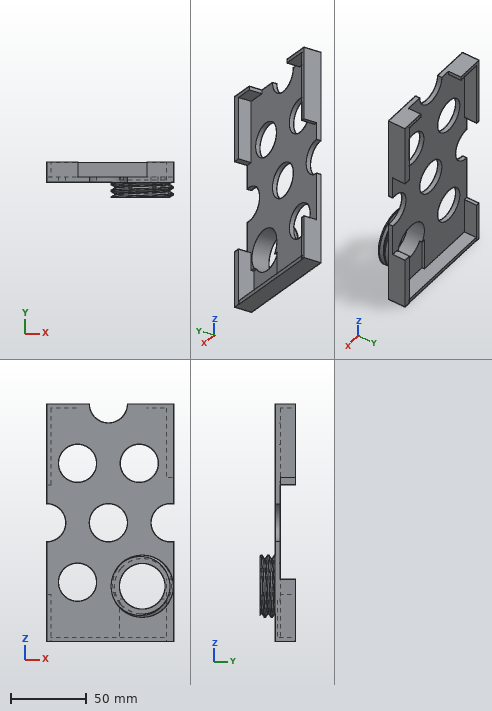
import cadquery as cq

WIDTH = 84.02
HEIGHT = 156.71
DEPTH = 13.45
PLATE_THICKNESS = 3.5
WALL_THICKNESS = 2.8
RIGHT_WALL_THICKNESS = 5.0
BOTTOM_WALL_SETBACK = 0.3

LEFT_OPENING = (31.2, 103.3)
RIGHT_OPENING = (41.2, 108.3)
TOP_OPENING = (20.7, 66.1)

HOLE_DIAMETER = 25.0
COLUMN_PITCH = 20.35
FIRST_COLUMN_X = 0.1
ROW_PITCH = HEIGHT / 4
HOLE_GRID = [(1, 1), (0, 2), (2, 2), (4, 2), (1, 3), (3, 3), (2, 4)]

RECESS_DEPTH = 2.0
RECESS_TOP_Z = 28.0

NECK_X = 63.1
NECK_Z = 36.5
NECK_LENGTH = 10.0
BORE_DIAMETER = 30.0
ROOT_DIAMETER = 36.54
CREST_DIAMETER = 41.0
THREAD_PITCH = 4.5
THREAD_BASE_WIDTH = 3.7
THREAD_CREST_WIDTH = 0.9
THREAD_PHASE = 1.1
THREAD_TURNS = 4
THREAD_EMBED = 0.5

root_radius = ROOT_DIAMETER / 2
crest_radius = CREST_DIAMETER / 2


def block(x_range, y_range, z_range):
    """Axis-aligned box between the given limits."""
    spans = [end - start for start, end in (x_range, y_range, z_range)]
    corner = (x_range[0], y_range[0], z_range[0])
    return cq.Workplane("XY").box(*spans, centered=False).translate(corner)


def cylinder_along_y(diameter, x, z, y_start, y_end):
    """Cylinder parallel to Y between two Y positions."""
    axis = cq.Vector(0, 1, 0)
    solid = cq.Solid.makeCylinder(diameter / 2, y_end - y_start, cq.Vector(x, y_start, z), axis)
    return cq.Workplane(solid)


def make_tray():
    """Plate with a wall along each edge, opened on the left, right and top."""
    inner_x = (WALL_THICKNESS, WIDTH - RIGHT_WALL_THICKNESS)
    inner_z = (WALL_THICKNESS, HEIGHT - WALL_THICKNESS)
    wall_y = (PLATE_THICKNESS, DEPTH)

    tray = block((0, WIDTH), (0, DEPTH), (0, HEIGHT))
    tray = tray.cut(block(inner_x, wall_y, inner_z))
    tray = tray.cut(block((0, WALL_THICKNESS), wall_y, LEFT_OPENING))
    tray = tray.cut(block((inner_x[1], WIDTH), wall_y, RIGHT_OPENING))
    tray = tray.cut(block(TOP_OPENING, wall_y, (inner_z[1], HEIGHT)))
    return tray.cut(block(inner_x, (DEPTH - BOTTOM_WALL_SETBACK, DEPTH), (0, WALL_THICKNESS)))


def cut_holes(body):
    """Round holes through the plate; those on the edges become part circles."""
    for column, row in HOLE_GRID:
        x = FIRST_COLUMN_X + column * COLUMN_PITCH
        body = body.cut(cylinder_along_y(HOLE_DIAMETER, x, row * ROW_PITCH, 0, PLATE_THICKNESS))
    return body


def make_thread():
    """Right-hand ridge around +Z with its first crest on the -X side, running past both neck ends."""
    inner = root_radius - THREAD_EMBED
    helix = cq.Wire.makeHelix(THREAD_PITCH, THREAD_TURNS * THREAD_PITCH, root_radius)
    flank_points = [
        (inner, -THREAD_BASE_WIDTH / 2),
        (root_radius, -THREAD_BASE_WIDTH / 2),
        (crest_radius, -THREAD_CREST_WIDTH / 2),
        (crest_radius, THREAD_CREST_WIDTH / 2),
        (root_radius, THREAD_BASE_WIDTH / 2),
        (inner, THREAD_BASE_WIDTH / 2),
    ]
    ridge = cq.Workplane("XZ").polyline(flank_points).close().sweep(cq.Workplane(helix), isFrenet=True)
    ridge = ridge.rotate((0, 0, 0), (0, 0, 1), 180)
    return ridge.translate((0, 0, THREAD_PHASE - THREAD_PITCH))


def make_neck():
    """Threaded neck standing out from the front face toward -Y."""
    overrun = 2 * THREAD_PITCH
    core = cq.Workplane("XY").circle(root_radius).extrude(NECK_LENGTH + 2 * overrun)
    core = core.translate((0, 0, -overrun))
    envelope = cq.Workplane("XY").circle(CREST_DIAMETER).extrude(NECK_LENGTH)
    neck = core.union(make_thread()).intersect(envelope)
    neck = neck.rotate((0, 0, 0), (1, 0, 0), 90)
    return neck.translate((NECK_X, 0, NECK_Z))


def cut_rear_recess(body):
    """Recess from the left side of the bore to the right wall, down to the bottom wall."""
    x_range = (NECK_X - BORE_DIAMETER / 2, WIDTH - RIGHT_WALL_THICKNESS)
    y_range = (PLATE_THICKNESS - RECESS_DEPTH, PLATE_THICKNESS)
    return body.cut(block(x_range, y_range, (WALL_THICKNESS, RECESS_TOP_Z)))


body = cut_holes(make_tray())
body = body.union(make_neck())
body = body.cut(cylinder_along_y(BORE_DIAMETER, NECK_X, NECK_Z, -NECK_LENGTH, PLATE_THICKNESS))
body = cut_rear_recess(body)
result = cq.Workplane(body.solids().val())